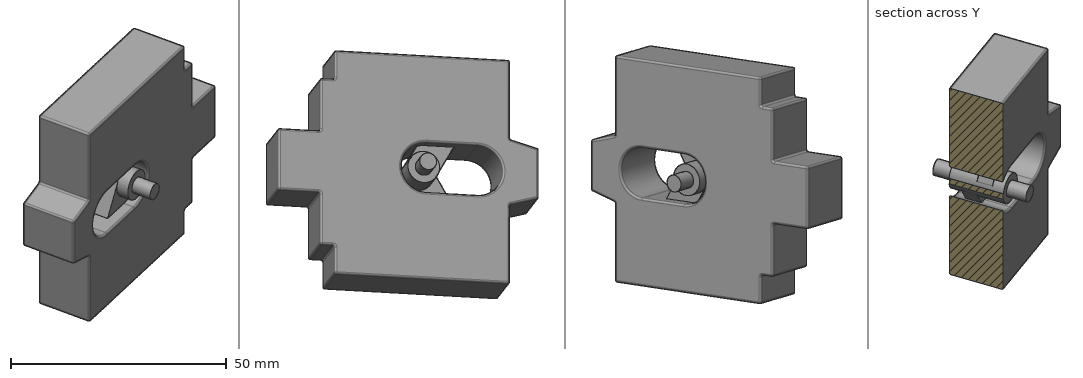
import cadquery as cq
import math

plate_thickness = 14.0
body_half_height = 26.9
body_back_y = 21.1
body_front_y = -20.4
step_back_y = 24.5
step_half_height = 20.0
tab_back_y = 34.5
tab_half_height = 7.4
nose_front_y = -27.22
nose_tip_half_height = 6.0
nose_taper_deg = 15.5
edge_radius = 0.5

slot_radius = 6.0
slot_straight_length = 12.0
slot_center_y = -6.75

pin_diameter = 4.0
pin_length = 24.0
hub_diameter = 7.5
hub_length = plate_thickness
arm_thickness = 4.0
arm_width = hub_diameter
arm_angle_deg = 60.0
arm_embed_depth = 2.0


def make_plate():
    """Stepped plate with a tapered nose, a through slot and every edge rounded."""
    nose_rise = (body_front_y - nose_front_y) * math.tan(math.radians(nose_taper_deg))
    nose_root_half_height = nose_tip_half_height + nose_rise
    upper_half = [
        (tab_back_y, tab_half_height),
        (step_back_y, tab_half_height),
        (step_back_y, step_half_height),
        (body_back_y, step_half_height),
        (body_back_y, body_half_height),
        (body_front_y, body_half_height),
        (body_front_y, nose_root_half_height),
        (nose_front_y, nose_tip_half_height),
    ]
    lower_half = [(y, -z) for y, z in reversed(upper_half)]
    plate = (
        cq.Workplane("YZ")
        .polyline(upper_half + lower_half)
        .close()
        .extrude(plate_thickness / 2, both=True)
    )
    plate = plate.edges("|X").fillet(edge_radius)
    plate = plate.cut(make_slot_cutter())
    return plate.faces("<X or >X").edges().fillet(edge_radius)


def make_slot_cutter():
    """Round-ended slot running through the full plate thickness."""
    return (
        cq.Workplane("YZ")
        .center(slot_center_y, 0)
        .slot2D(slot_straight_length + 2 * slot_radius, 2 * slot_radius)
        .extrude(plate_thickness / 2, both=True)
    )


def cylinder_on_axis(diameter, length):
    """Cylinder along the pin axis, centered on the plate's mid-plane."""
    return cq.Workplane("YZ").circle(diameter / 2).extrude(length / 2, both=True)


def make_arm(side):
    """Arm from the pin axis toward -Y, ending inside the plate.

    side = 1 gives the upper arm on the -X half, side = -1 the lower arm on the +X half.
    """
    reach = (slot_radius + arm_embed_depth) / math.sin(math.radians(arm_angle_deg))
    arm = (
        cq.Workplane("XY")
        .box(arm_thickness, reach, arm_width)
        .translate((-side * arm_thickness / 2, -reach / 2, 0))
    )
    return arm.rotate((0, 0, 0), (1, 0, 0), -side * arm_angle_deg)


def make_lever():
    """Pin and hub with both arms."""
    lever = cylinder_on_axis(pin_diameter, pin_length)
    lever = lever.union(cylinder_on_axis(hub_diameter, hub_length))
    for side in (1, -1):
        lever = lever.union(make_arm(side))
    return lever


result = make_plate().union(make_lever())